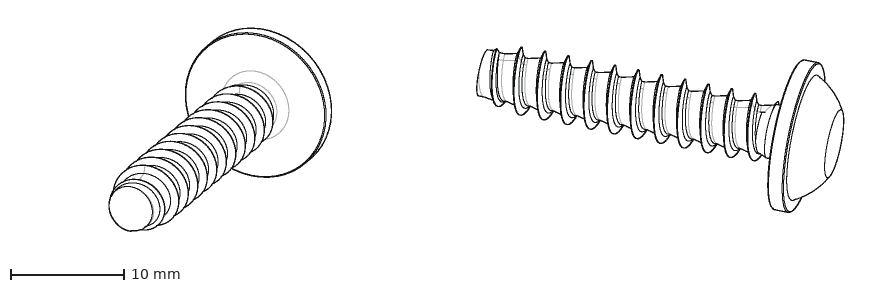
import cadquery as cq
import math


head_height = 4.2
flange_diameter = 13.5
flange_thickness = 1.45
flange_edge_chamfer = 0.1
dome_base_radius = 5.65
dome_top_radius = 3.05

total_length = 32.2
shank_length = total_length - head_height
shank_radius = 2.4
shank_end = 1.5
neck_fillet = 0.8
neck_cone_end = 2.45
core_radius = 2.05

full_turns = 10
full_thread_length = 21.4
pitch = full_thread_length / full_turns
crest_radius = 3.0
crest_half_width = 0.03
knee_radius = 2.32
knee_offset = -0.3
ramp_start_offset = -0.5
foot_radius = 2.32
foot_offset = 0.25
taper_end_offset = 1.35

run_in_start = 1.25
run_in_turns = 1
run_in_crest_radius = 2.65
run_out_turns = 1.5
run_out_crest_radius = 2.13
run_out_foot_radius = 2.1
sunk_knee_radius = 1.95

ramp_embed = 0.13
taper_embed = 0.015


def revolved(outline):
    """Turn an (r, z) outline about the screw axis."""
    return outline.close().revolve(360, (0, 0, 0), (0, 1, 0))


def make_head():
    """Flange with broken edges under a flat-topped spherical dome."""
    flange_radius = flange_diameter / 2
    dome_height = head_height - flange_thickness
    centre_depth = (dome_base_radius**2 - dome_top_radius**2 + dome_height**2) / (2 * dome_height)
    sphere_radius = math.hypot(dome_top_radius, centre_depth)
    mid_depth = dome_height / 2
    mid_radius = math.sqrt(sphere_radius**2 - (centre_depth - mid_depth) ** 2)

    flange = (
        cq.Workplane("XY")
        .circle(flange_radius)
        .extrude(-flange_thickness)
        .edges()
        .chamfer(flange_edge_chamfer)
    )
    dome = revolved(
        cq.Workplane("XZ")
        .moveTo(0, -head_height)
        .lineTo(dome_top_radius, -head_height)
        .threePointArc((mid_radius, mid_depth - head_height), (dome_base_radius, -flange_thickness))
        .lineTo(0, -flange_thickness)
    )
    return flange.union(dome)


def make_shank():
    """Filleted plain neck that narrows through a cone to the thread core."""
    return revolved(
        cq.Workplane("XZ")
        .lineTo(shank_radius + neck_fillet, 0)
        .radiusArc((shank_radius, neck_fillet), neck_fillet)
        .lineTo(shank_radius, shank_end)
        .lineTo(core_radius, neck_cone_end)
        .lineTo(core_radius, shank_length)
        .lineTo(0, shank_length)
    )


def thread_profile(crest, knee, foot):
    """Points (r, z) of the thread profile for the given crest, knee and foot radii."""
    base = core_radius - ramp_embed
    ramp_slope = (knee_offset - ramp_start_offset) / (knee_radius - core_radius)
    base_offset = ramp_start_offset - ramp_embed * ramp_slope
    taper_slope = (taper_end_offset - foot_offset) / (foot_radius - core_radius)
    buried_offset = taper_end_offset + taper_embed * taper_slope
    return [
        (base, base_offset),
        (knee, knee_offset),
        (crest, -crest_half_width),
        (crest, crest_half_width),
        (foot, foot_offset),
        (core_radius - taper_embed, buried_offset),
        (base, buried_offset),
    ]


def helix_edge(start_radius, end_radius, start_z, turns):
    """One edge of the thread, its radius changing evenly along the turns."""
    cone_angle = math.atan2(end_radius - start_radius, turns * pitch)
    slant_pitch = pitch / math.cos(cone_angle)
    helix = cq.Wire.makeHelix(
        slant_pitch,
        turns * slant_pitch,
        start_radius,
        center=cq.Vector(0, 0, start_z),
        angle=math.degrees(cone_angle) or 360,
    )
    return helix.Edges()[0]


def thread_faces(start_profile, end_profile, start_z, turns):
    """Helical faces of one stretch of thread that runs from one profile to another."""
    edges = [
        helix_edge(start_radius, end_radius, start_z + offset, turns)
        for (start_radius, offset), (end_radius, _) in zip(start_profile, end_profile)
    ]
    return [
        cq.Face.makeRuledSurface(edge, next_edge)
        for edge, next_edge in zip(edges, edges[1:] + edges[:1])
    ]


def end_face(profile, z, side):
    """Flat end of the thread in the XZ plane, on the +x (side 1) or -x (side -1) side."""
    points = [cq.Vector(side * radius, 0, z + offset) for radius, offset in profile]
    return cq.Face.makeFromWires(cq.Wire.makePolygon(points, close=True))


def make_thread():
    """Thread with run-in and run-out, limited to the stretch from the plain neck to the tip."""
    run_in_profile = thread_profile(run_in_crest_radius, sunk_knee_radius, foot_radius)
    full_profile = thread_profile(crest_radius, knee_radius, foot_radius)
    run_out_profile = thread_profile(run_out_crest_radius, sunk_knee_radius, run_out_foot_radius)
    full_start = run_in_start + run_in_turns * pitch
    run_out_start = full_start + full_thread_length
    run_out_end = run_out_start + run_out_turns * pitch

    faces = [
        end_face(run_in_profile, run_in_start, 1),
        *thread_faces(run_in_profile, full_profile, run_in_start, run_in_turns),
        *thread_faces(full_profile, full_profile, full_start, full_turns),
        *thread_faces(full_profile, run_out_profile, run_out_start, run_out_turns),
        end_face(run_out_profile, run_out_end, -1),
    ]
    thread = cq.Solid.makeSolid(cq.Shell.makeShell(faces))
    limits = (
        cq.Workplane("XY")
        .workplane(offset=shank_end)
        .circle(2 * crest_radius)
        .extrude(shank_length - shank_end)
    )
    return limits.intersect(cq.Workplane(thread))


screw = make_shank().union(make_head()).union(make_thread())

placement = cq.Plane(origin=(0, 0, 0), xDir=(0, 0, 1), normal=(0, -1, 0))
result = screw.val().moved(cq.Location(placement))